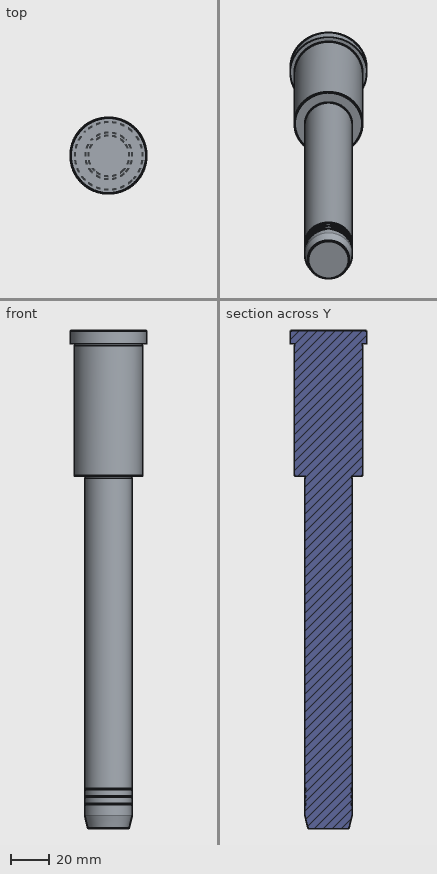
import cadquery as cq

total_length = 260.0

head_radius = 20.0
head_height = 7.0
head_chamfer = 0.5

shoulder_radius = 18.0
shoulder_depth = 76.2
shoulder_bottom = total_length - shoulder_depth
shoulder_chamfer = 0.5

pin_radius = 12.5
tip_radius = 11.0
tip_height = 7.0
tip_edge = 0.5

groove_count = 3
groove_pitch = 4.0
groove_width = 0.8
groove_depth = 0.5
lowest_groove_bottom = 12.5

relief_width = 1.0
relief_depth = 0.3


def cylinder(radius, bottom, top):
    """Cylinder about Z between two heights."""
    return cq.Workplane("XY").workplane(offset=bottom).circle(radius).extrude(top - bottom)


def make_head():
    """Flat round head with its top rim broken."""
    head = cylinder(head_radius, total_length - head_height, total_length)
    return head.faces(">Z").edges().chamfer(head_chamfer)


def make_shoulder():
    """Thick length below the head with its lower rim broken."""
    shoulder = cylinder(shoulder_radius, shoulder_bottom, total_length - head_height)
    return shoulder.faces("<Z").edges().chamfer(shoulder_chamfer)


def make_pin():
    """Pin with a conical lead-in and a small broken edge at the tip."""
    profile = [
        (0, 0),
        (tip_radius - tip_edge, 0),
        (tip_radius, tip_edge),
        (pin_radius, tip_height),
        (pin_radius, shoulder_bottom),
        (0, shoulder_bottom),
    ]
    return cq.Workplane("XZ").polyline(profile).close().revolve(360, (0, 0, 0), (0, 1, 0))


def make_ring(outer_radius, depth, bottom, width):
    """Ring of material to remove from a cylindrical surface."""
    top = bottom + width
    return cylinder(outer_radius, bottom, top).cut(cylinder(outer_radius - depth, bottom, top))


result = make_head().union(make_shoulder()).union(make_pin())

head_relief_bottom = total_length - head_height - relief_width
pin_relief_bottom = shoulder_bottom - relief_width
result = result.cut(make_ring(shoulder_radius, relief_depth, head_relief_bottom, relief_width))
result = result.cut(make_ring(pin_radius, relief_depth, pin_relief_bottom, relief_width))

for index in range(groove_count):
    groove_bottom = lowest_groove_bottom + index * groove_pitch
    result = result.cut(make_ring(pin_radius, groove_depth, groove_bottom, groove_width))